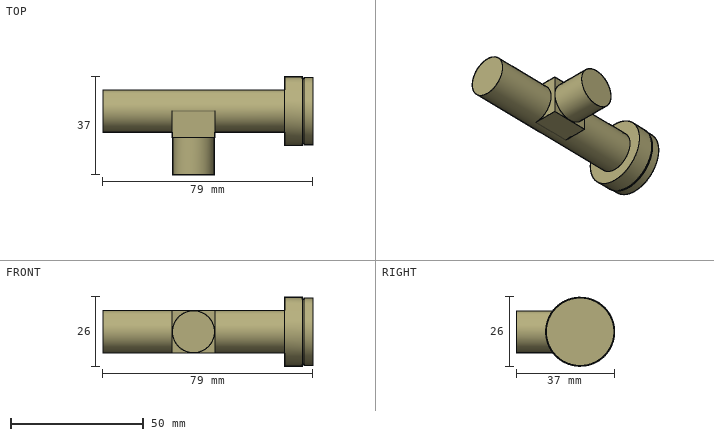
import cadquery as cq

total_length = 79.0
bar_diameter = 16.0

flange_diameter = 26.0
flange_thickness = 6.6
groove_diameter = 24.5
groove_width = 0.7
end_disc_diameter = 25.4
end_disc_thickness = 3.3

branch_x = 34.05
block_reach = 9.95
branch_reach = 24.0
branch_diameter = 15.8

end_disc_start = total_length - end_disc_thickness
groove_start = end_disc_start - groove_width
flange_start = groove_start - flange_thickness


def cylinder_along_x(start, end, diameter):
    """Solid cylinder on the X axis between two stations."""
    return cq.Workplane("YZ", origin=(start, 0, 0)).circle(diameter / 2).extrude(end - start)


def stepped_bar():
    """Bar with its flange, narrow groove and end disc."""
    bar = cylinder_along_x(0, flange_start, bar_diameter)
    flange = cylinder_along_x(flange_start, groove_start, flange_diameter)
    groove = cylinder_along_x(groove_start, end_disc_start, groove_diameter)
    end_disc = cylinder_along_x(end_disc_start, total_length, end_disc_diameter)
    return bar.union(flange).union(groove).union(end_disc)


def side_branch():
    """Square block from the bar axis outward, carrying a round stub."""
    block = cq.Workplane("XZ", origin=(branch_x, 0, 0)).rect(bar_diameter, bar_diameter).extrude(block_reach)
    stub = (
        cq.Workplane("XZ", origin=(branch_x, -block_reach, 0))
        .circle(branch_diameter / 2)
        .extrude(branch_reach - block_reach)
    )
    return block.union(stub)


result = stepped_bar().union(side_branch())